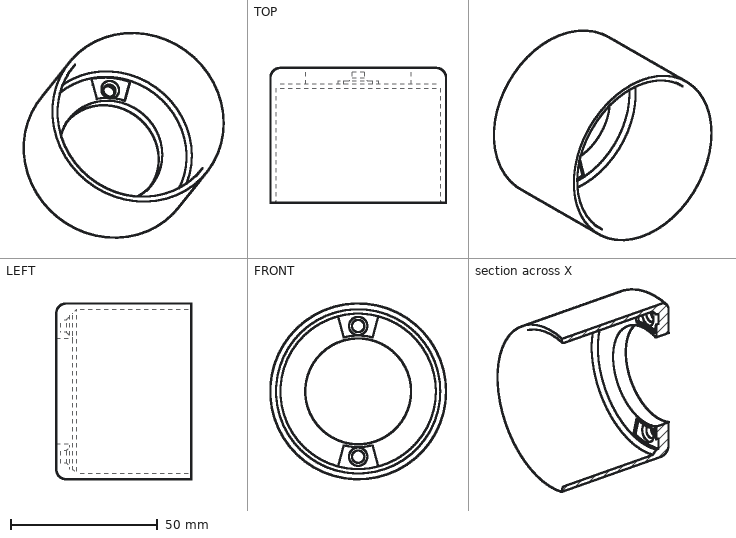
import cadquery as cq
import math

outer_radius = 30.0
length = 46.1
outer_fillet = 3.5
back_y = length / 2
rim_y = -back_y

bore_radius = 56.0 / 2
rim_fillet = 1.0
floor_thickness = 5.5
floor_bevel = 1.5
floor_radius = bore_radius - floor_bevel
floor_y = back_y - floor_thickness
opening_radius = 18.0

recess_inner_radius = 19.0
recess_half_angle = 15.0
recess_depth = 1.0
recess_floor_y = floor_y + recess_depth
recess_angles = (90.0, 270.0)

hole_circle_radius = 22.25
hole_diameter = 4.2
mouth_diameter = 6.25
mouth_depth = (mouth_diameter - hole_diameter) / 2
hole_depth = 3.0


def make_shell():
    """Cup revolved about the Y axis, with a large opening through its floor."""
    profile = (
        cq.Workplane("XY")
        .moveTo(opening_radius, back_y)
        .lineTo(outer_radius - outer_fillet, back_y)
        .radiusArc((outer_radius, back_y - outer_fillet), outer_fillet)
        .lineTo(outer_radius, rim_y)
        .lineTo(bore_radius + rim_fillet, rim_y)
        .radiusArc((bore_radius, rim_y + rim_fillet), rim_fillet)
        .lineTo(bore_radius, floor_y - floor_bevel)
        .lineTo(floor_radius, floor_y)
        .lineTo(opening_radius, floor_y)
        .close()
    )
    return profile.revolve(360, (0, 0, 0), (0, 1, 0))


def polar(radius, angle):
    """Point at a radius and an angle (degrees) around the axis, as (x, z)."""
    return radius * math.cos(math.radians(angle)), radius * math.sin(math.radians(angle))


def make_recess(angle):
    """Ring sector centred on an angle, from the floor down to the recess floor."""
    start = angle - recess_half_angle
    end = angle + recess_half_angle
    return (
        cq.Workplane("XZ", origin=(0, recess_floor_y, 0))
        .moveTo(*polar(recess_inner_radius, start))
        .lineTo(*polar(floor_radius, start))
        .threePointArc(polar(floor_radius, angle), polar(floor_radius, end))
        .lineTo(*polar(recess_inner_radius, end))
        .threePointArc(polar(recess_inner_radius, angle), polar(recess_inner_radius, start))
        .close()
        .extrude(recess_depth)
    )


def make_hole(angle):
    """Blind hole with a conical mouth, revolved about its own axis."""
    x, z = polar(hole_circle_radius, angle)
    profile = (
        cq.Workplane("XY", origin=(x, recess_floor_y, z))
        .lineTo(mouth_diameter / 2, 0)
        .lineTo(hole_diameter / 2, mouth_depth)
        .lineTo(hole_diameter / 2, hole_depth)
        .lineTo(0, hole_depth)
        .close()
    )
    return profile.revolve(360, (0, 0, 0), (0, 1, 0))


result = make_shell()
for recess_angle in recess_angles:
    result = result.cut(make_recess(recess_angle)).cut(make_hole(recess_angle))